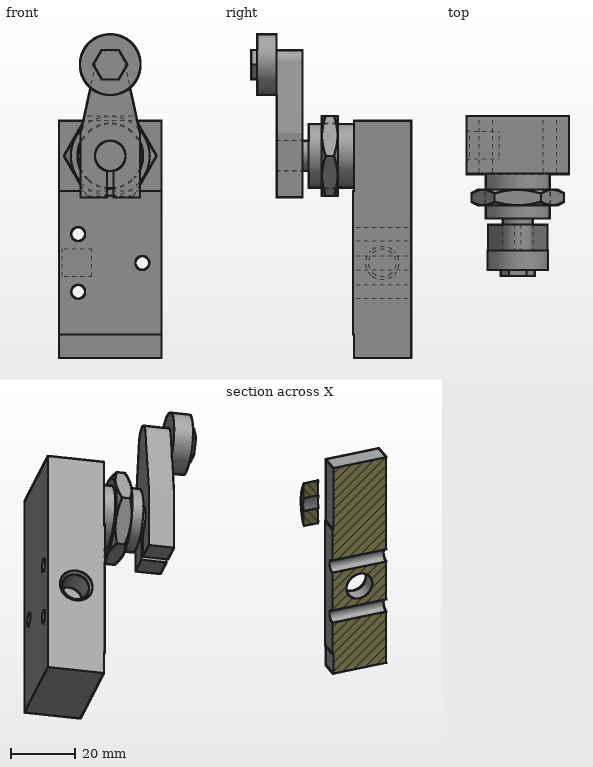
import cadquery as cq
import math


width = 32.0
depth = 18.0
body_step = 0.3
cap_height = 7.3
body_top = 52.0
head_top = 74.0

mount_diameter = 4.2
mount_offset = 10.0
mount_pitch = 9.0
port_diameter = 8.6
port_chamfer = 0.9
port_depth = 10.1
port_from_back = 9.1

shaft_z = 63.0
shaft_diameter = 9.5
barrel_diameter = 20.0
barrel_front = 32.0
nut_back = 22.9
nut_thickness = 5
nut_across_flats = 25.0
nut_face_diameter = 24.6
nut_bevel_angle = 30
nut_clearance = 0.25

lever_back = 33.9
lever_thickness = 8.1
lever_half_width = 9.3
lever_bottom = 50.1
lever_shoulder = 70.1
lever_end_radius = 4.5
slot_width = 2.1
roller_diameter = 19.0
roller_thickness = 6.1
screw_across_flats = 9.2
total_depth = 50.0
total_height = 101

body_mid_z = (cap_height + body_top) / 2
roller_z = total_height - roller_diameter / 2
lever_front = lever_back + lever_thickness
roller_front = lever_front + roller_thickness


def block(bottom, top, block_depth):
    """Rectangular block with its back on Y = 0."""
    return cq.Workplane("XY").box(
        width, block_depth, top - bottom, centered=(True, False, False)
    ).translate((0, -block_depth, bottom))


def front_plane(distance, z=0):
    """Sketch plane facing -Y, at a distance in front of the back face."""
    return cq.Workplane("XZ", origin=(0, -distance, z))


def disc(diameter, back, front, z):
    return front_plane(back, z).circle(diameter / 2).extrude(front - back)


def hexagon(across_flats, back, front, z):
    """Hexagonal prism with corners on the left and right."""
    corner_diameter = across_flats / math.cos(math.pi / 6)
    return front_plane(back, z).polygon(6, corner_diameter).extrude(front - back)


def make_valve_body():
    """Thicker middle block with three mounting holes and a side port."""
    body_depth = depth + body_step
    body = block(cap_height, body_top, body_depth)
    mount_points = [
        (-mount_offset, body_mid_z + mount_pitch),
        (-mount_offset, body_mid_z - mount_pitch),
        (mount_offset, body_mid_z),
    ]
    mounts = front_plane(0).pushPoints(mount_points).circle(mount_diameter / 2).extrude(body_depth)
    port_radius = port_diameter / 2
    port_profile = [
        (0, 0),
        (0, port_radius + port_chamfer),
        (port_chamfer, port_radius),
        (port_depth, port_radius),
        (port_depth, 0),
    ]
    port = (
        cq.Workplane("XY", origin=(-width / 2, -port_from_back, body_mid_z))
        .polyline(port_profile)
        .close()
        .revolve(360, (0, 0), (1, 0))
    )
    return body.cut(mounts).cut(port)


def make_nut():
    """Hexagon nut with its corners bevelled on both faces, around the barrel."""
    corner_radius = nut_across_flats / 2 / math.cos(math.pi / 6)
    face_radius = nut_face_diameter / 2
    bevel = (corner_radius - face_radius) * math.tan(math.radians(nut_bevel_angle))
    back = -nut_back
    front = back - nut_thickness
    envelope_profile = [
        (0, back),
        (face_radius, back),
        (corner_radius, back - bevel),
        (corner_radius, front + bevel),
        (face_radius, front),
        (0, front),
    ]
    envelope = (
        cq.Workplane("XY", origin=(0, 0, shaft_z))
        .polyline(envelope_profile)
        .close()
        .revolve(360, (0, 0), (0, 1))
    )
    nut_front = nut_back + nut_thickness
    prism = hexagon(nut_across_flats, nut_back, nut_front, shaft_z)
    bore = disc(barrel_diameter + 2 * nut_clearance, nut_back, nut_front, shaft_z)
    return prism.intersect(envelope).cut(bore)


def make_lever_plate():
    """Plate tapering tangentially into a round end, bored for the shaft and slotted below it."""
    shoulder_drop = roller_z - lever_shoulder
    shoulder_distance = math.hypot(lever_half_width, shoulder_drop)
    tangent_angle = math.acos(lever_end_radius / shoulder_distance) - math.atan2(
        shoulder_drop, lever_half_width
    )
    tangent_x = lever_end_radius * math.cos(tangent_angle)
    tangent_z = roller_z + lever_end_radius * math.sin(tangent_angle)
    plate = (
        front_plane(lever_back)
        .moveTo(-lever_half_width, lever_bottom)
        .lineTo(lever_half_width, lever_bottom)
        .lineTo(lever_half_width, lever_shoulder)
        .lineTo(tangent_x, tangent_z)
        .threePointArc((0, roller_z + lever_end_radius), (-tangent_x, tangent_z))
        .lineTo(-lever_half_width, lever_shoulder)
        .close()
        .extrude(lever_thickness)
    )
    slot = (
        front_plane(lever_back, lever_bottom)
        .rect(slot_width, 2 * (shaft_z - lever_bottom))
        .extrude(lever_thickness)
    )
    bore = disc(shaft_diameter, lever_back, lever_front, shaft_z)
    return plate.cut(slot).cut(bore)


def make_housing():
    """End cap, valve body and head block with its barrel and shaft, in one piece."""
    return (
        make_valve_body()
        .union(block(0, cap_height, depth), clean=False)
        .union(block(body_top, head_top, depth), clean=False)
        .union(disc(barrel_diameter, depth, barrel_front, shaft_z), clean=False)
        .union(disc(shaft_diameter, barrel_front, lever_front, shaft_z), clean=False)
    )


def make_roller_lever():
    """Lever plate with the roller and its screw head."""
    return (
        make_lever_plate()
        .union(disc(roller_diameter, lever_front, roller_front, roller_z))
        .union(hexagon(screw_across_flats, roller_front, total_depth, roller_z))
    )


housing = make_housing()
nut = make_nut()
roller_lever = make_roller_lever()

result = cq.Compound.makeCompound([
    housing.solids().val(),
    nut.solids().val(),
    roller_lever.solids().val(),
])